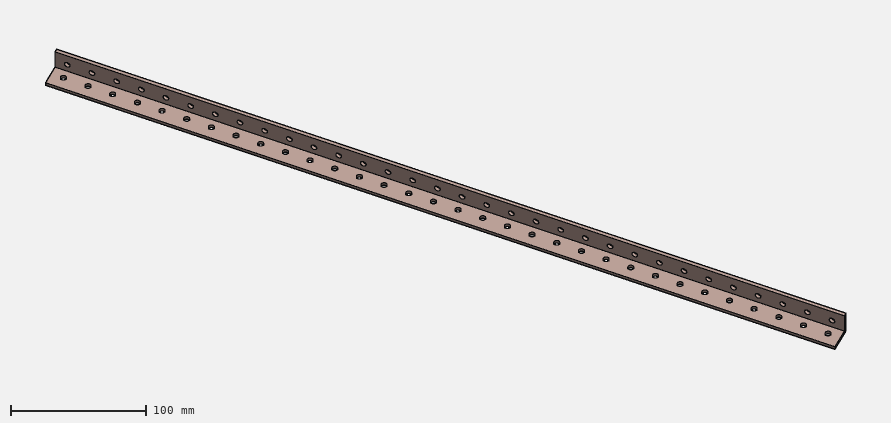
import cadquery as cq

LENGTH = 640.0
LEG = 20.0
THICKNESS = 3.0
HOLE_DIAMETER = 4.5
HOLE_COUNT = 32

PITCH = LENGTH / HOLE_COUNT
HOLE_OFFSET = LEG / 2
HOLE_POSITIONS = [(PITCH * (i + 0.5), HOLE_OFFSET) for i in range(HOLE_COUNT)]


def angle_bar():
    """L-shaped bar along X: flat leg on the bottom, upright leg at the +Y side."""
    outline = [
        (0, 0),
        (LEG, 0),
        (LEG, LEG),
        (LEG - THICKNESS, LEG),
        (LEG - THICKNESS, THICKNESS),
        (0, THICKNESS),
    ]
    return cq.Workplane("YZ").polyline(outline).close().extrude(LENGTH)


def flat_leg_holes():
    """Vertical hole cutters through the flat leg."""
    return cq.Workplane("XY").pushPoints(HOLE_POSITIONS).circle(HOLE_DIAMETER / 2).extrude(THICKNESS)


def upright_leg_holes():
    """Hole cutters along Y through the upright leg."""
    outer_face = cq.Workplane("XZ", origin=(0, LEG, 0))
    return outer_face.pushPoints(HOLE_POSITIONS).circle(HOLE_DIAMETER / 2).extrude(THICKNESS)


result = angle_bar().cut(flat_leg_holes()).cut(upright_leg_holes())